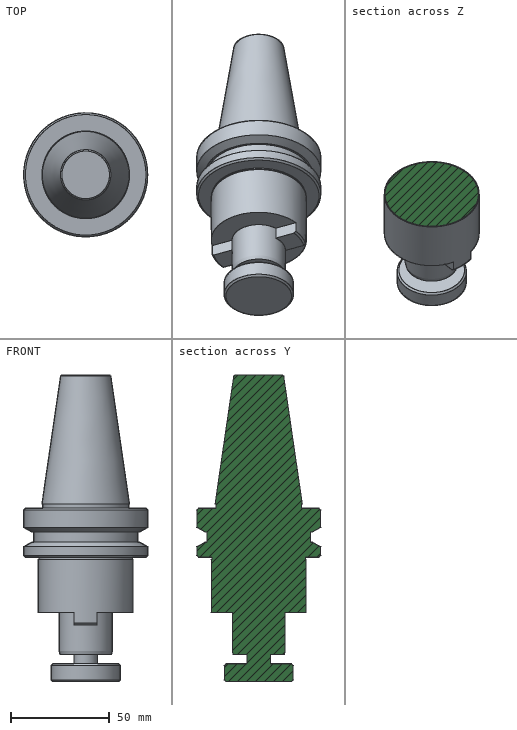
import cadquery as cq

head_top = 9.2
arbor_bottom = 13.7
tenon_bottom = 28.7
body_bottom = 35.0
flange_bottom = 63.0
lower_rim_top = 68.4
groove_bottom = 70.7
groove_top = 75.8
upper_rim_bottom = 78.2
flange_top = 88.0
gauge_height = 90.0
total_height = 155.4

head_radius = 17.5
neck_radius = 5.98
arbor_radius = 13.5
body_radius = 24.1
flange_radius = 63.0 / 2
groove_radius = 26.4
groove_mouth_radius = 27.4
gauge_radius = 22.2
taper_slope = 7 / 48
taper_end_radius = gauge_radius - taper_slope * (total_height - gauge_height)

head_chamfer = 1.0
arbor_chamfer_radial = 0.5
arbor_chamfer_height = 1.9
flange_chamfer = 1.0
taper_end_chamfer = 0.6
relief_depth = 0.3
body_relief_height = 1.0
tenon_chamfer = 1.0

tenon_width = 11.7


def make_turned_body():
    """Revolve the half profile of the taper, flange, body, arbor and screw."""
    profile = [
        (0, 0),
        (head_radius - head_chamfer, 0),
        (head_radius, head_chamfer),
        (head_radius, head_top - head_chamfer),
        (head_radius - head_chamfer, head_top),
        (neck_radius, head_top),
        (neck_radius, arbor_bottom),
        (arbor_radius - arbor_chamfer_radial, arbor_bottom),
        (arbor_radius, arbor_bottom + arbor_chamfer_height),
        (arbor_radius, body_bottom),
        (body_radius, body_bottom),
        (body_radius, flange_bottom - body_relief_height),
        (body_radius - relief_depth, flange_bottom - body_relief_height),
        (body_radius - relief_depth, flange_bottom),
        (flange_radius - flange_chamfer, flange_bottom),
        (flange_radius, flange_bottom + flange_chamfer),
        (flange_radius, lower_rim_top),
        (groove_mouth_radius, groove_bottom),
        (groove_radius, groove_bottom),
        (groove_radius, groove_top),
        (groove_mouth_radius, groove_top),
        (flange_radius, upper_rim_bottom),
        (flange_radius, flange_top - flange_chamfer),
        (flange_radius - flange_chamfer, flange_top),
        (gauge_radius - relief_depth, flange_top),
        (gauge_radius - relief_depth, gauge_height),
        (gauge_radius, gauge_height),
        (taper_end_radius + taper_slope * taper_end_chamfer, total_height - taper_end_chamfer),
        (taper_end_radius - taper_end_chamfer, total_height),
        (0, total_height),
    ]
    return cq.Workplane("XZ").polyline(profile).close().revolve(360, (0, 0), (0, 1))


def make_drive_tenons():
    """Driving tenons at +Y and -Y, rounded to the body radius and joined to the arbor."""
    disc = (
        cq.Workplane("XY", origin=(0, 0, tenon_bottom))
        .circle(body_radius)
        .extrude(body_bottom - tenon_bottom)
        .faces("<Z")
        .chamfer(tenon_chamfer)
    )
    bar = (
        cq.Workplane("XY", origin=(0, 0, tenon_bottom))
        .rect(tenon_width, 2 * body_radius)
        .extrude(body_bottom - tenon_bottom)
    )
    return disc.intersect(bar)


result = make_turned_body().union(make_drive_tenons())